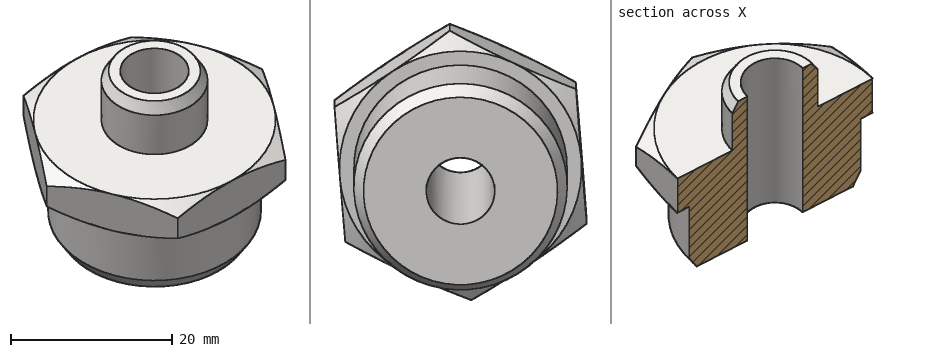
import cadquery as cq
import math

corner_diameter = 34.65
flat_diameter = corner_diameter * math.cos(math.radians(30))
hex_height = 6.0
hex_chamfer_angle = 30.0

lower_diameter = 26.43
lower_height = 11.0
lower_chamfer_height = 2.08
upper_diameter = 13.15
upper_height = 8.0
upper_chamfer_height = 1.55
end_chamfer_angle = 30.0

bore_diameter = 8.5

hex_top = lower_height + hex_height
total_height = hex_top + upper_height


def chamfered_hexagon():
    """Hexagon with corners on X, its corners turned down by a cone on both faces."""
    corner_radius = corner_diameter / 2
    flat_radius = flat_diameter / 2
    corner_drop = (corner_radius - flat_radius) * math.tan(math.radians(hex_chamfer_angle))
    hexagon = (
        cq.Workplane("XY")
        .workplane(offset=lower_height)
        .polygon(6, corner_diameter)
        .extrude(hex_height)
    )
    turned_envelope = (
        cq.Workplane("XZ")
        .moveTo(0, lower_height)
        .lineTo(flat_radius, lower_height)
        .lineTo(corner_radius, lower_height + corner_drop)
        .lineTo(corner_radius, hex_top - corner_drop)
        .lineTo(flat_radius, hex_top)
        .lineTo(0, hex_top)
        .close()
        .revolve()
    )
    return hexagon.intersect(turned_envelope)


def round_end(diameter, height, chamfer_height, start_z, end_face):
    """Cylinder rising from start_z with a steep chamfer around one end face."""
    chamfer_width = chamfer_height * math.tan(math.radians(end_chamfer_angle))
    return (
        cq.Workplane("XY")
        .workplane(offset=start_z)
        .circle(diameter / 2)
        .extrude(height)
        .faces(end_face)
        .chamfer(chamfer_height, chamfer_width)
    )


lower_end = round_end(lower_diameter, lower_height, lower_chamfer_height, 0, "<Z")
upper_end = round_end(upper_diameter, upper_height, upper_chamfer_height, hex_top, ">Z")
bore = cq.Workplane("XY").circle(bore_diameter / 2).extrude(total_height)

result = chamfered_hexagon().union(lower_end).union(upper_end).cut(bore)